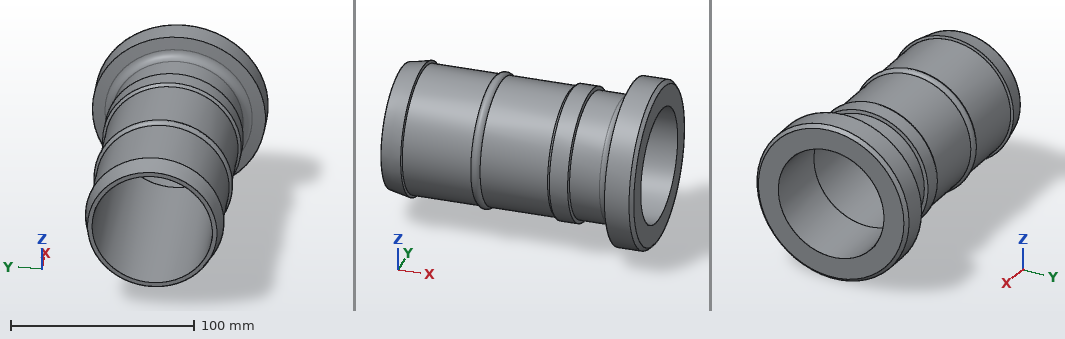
import cadquery as cq
import math

total_length = 148.0
bore_diameter = 66.0

tube_diameter = 73.0
tip_diameter = 71.0
ridge_diameter = 76.0
barb_length = 12.1
barb_back_length = 0.5
bead_center_x = 54.5
bead_width = 5.3
collar_start_x = 95.8
collar_back_length = 0.5
tail_length = 108.2

neck_diameter = 72.0
fillet_end_diameter = 80.8
flange_diameter = 95.0
rim_width = 16.1
rim_chamfer = 2.0
back_face_angle = math.radians(10.0)

bore_radius = bore_diameter / 2
tube_radius = tube_diameter / 2
ridge_radius = ridge_diameter / 2
neck_radius = neck_diameter / 2
ridge_height = ridge_radius - tube_radius


def revolve_about_x(profile):
    """Turn a closed profile, drawn as (X, radius), around the X axis."""
    return profile.close().revolve(360, (0, 0, 0), (1, 0, 0))


def make_hose_tail():
    """Tube with the barb, bead and collar, all of the same crest diameter."""
    profile = (
        cq.Workplane("XY")
        .moveTo(0, bore_radius)
        .lineTo(0, tip_diameter / 2)
        .lineTo(barb_length, ridge_radius)
        .lineTo(barb_length + barb_back_length, tube_radius)
        .lineTo(bead_center_x - bead_width / 2, tube_radius)
        .threePointArc((bead_center_x, ridge_radius), (bead_center_x + bead_width / 2, tube_radius))
        .lineTo(collar_start_x, tube_radius)
        .lineTo(collar_start_x + ridge_height, ridge_radius)
        .lineTo(tail_length - collar_back_length, ridge_radius)
        .lineTo(tail_length, neck_radius)
        .lineTo(tail_length, bore_radius)
    )
    return revolve_about_x(profile)


def make_flanged_stub():
    """Neck butted against the collar and flared into the flange."""
    fillet_end_radius = fillet_end_diameter / 2
    flange_radius = flange_diameter / 2

    fillet_radius = (fillet_end_radius - neck_radius) / (1 - math.sin(back_face_angle))
    rim_start_x = total_length - rim_width
    fillet_end_x = rim_start_x - (flange_radius - fillet_end_radius) * math.tan(back_face_angle)
    fillet_start_x = fillet_end_x - fillet_radius * math.cos(back_face_angle)

    profile = (
        cq.Workplane("XY")
        .moveTo(tail_length, bore_radius)
        .lineTo(tail_length, neck_radius)
        .lineTo(fillet_start_x, neck_radius)
        .tangentArcPoint((fillet_end_x, fillet_end_radius), relative=False)
        .lineTo(rim_start_x, flange_radius)
        .lineTo(total_length - rim_chamfer, flange_radius)
        .lineTo(total_length, flange_radius - rim_chamfer)
        .lineTo(total_length, bore_radius)
    )
    return revolve_about_x(profile)


hose_tail = make_hose_tail()
flanged_stub = make_flanged_stub()

result = cq.Compound.makeCompound([hose_tail.val(), flanged_stub.val()])